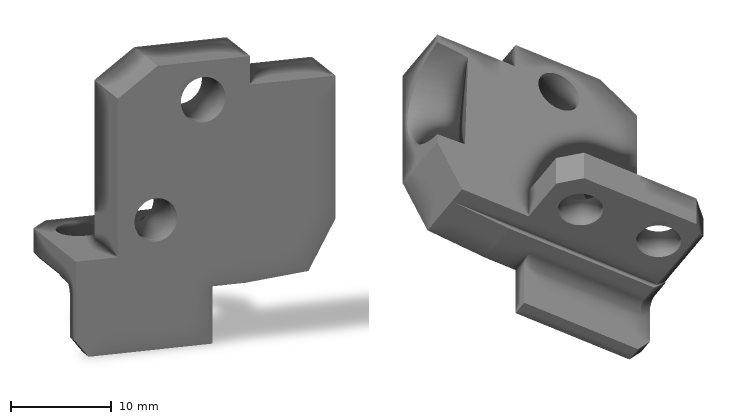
import cadquery as cq
import math

width = 14.3
height = 29.5
plate_back = 27.5

plate_left = 7.5
plate_front = 4.45
plate_underside = 6.5
step_y = 18.47
shoulder_z = 26.52
top_bevel_y = 8.67
rear_bevel_top = 11.62
rear_bevel_y = 24.63
plate_holes = [(13.48, 25.45, 4.72), (8.47, 13.48, 4.5)]

shelf_top = 10.03
shelf_depth = 16.95
corner_x = 2.06
corner_y = 2.0
shelf_edge_bevel = 1.0
shelf_hole_x = 4.05
shelf_hole_ys = (4.0, 13.0)
shelf_hole_diameter = 4.5

pad_left = 9.5
pad_underside = 5.95
pad_ramp_y = 18.0
pad_edge_bevel = 1.3

leg_thickness = 1.7
leg_left = width - leg_thickness
leg_depth = 14.48
leg_bevel_y = 1.35
leg_bevel_z = 1.7
leg_fillet = 1.0

recess_radius = 6.43
recess_axis_x = 6.55
recess_axis_z = 19.1
recess_yaw = 21.0
recess_pitch = 1.5
recess_length = 2.8
recess_overrun = 5.9


def side_prism(points, left):
    """Extrude a YZ outline from the given X to the right side of the part."""
    return cq.Workplane("YZ", origin=(left, 0, 0)).polyline(points).close().extrude(width - left)


def make_plate():
    plate = side_prism(
        [
            (plate_front, plate_underside),
            (plate_front, shoulder_z),
            (top_bevel_y, height),
            (step_y, height),
            (step_y, shoulder_z),
            (plate_back, shoulder_z),
            (plate_back, rear_bevel_top),
            (rear_bevel_y, plate_underside),
        ],
        plate_left,
    )
    for y, z, diameter in plate_holes:
        hole = cq.Workplane("YZ", origin=(0, y, z)).circle(diameter / 2).extrude(width)
        plate = plate.cut(hole)
    return plate.cut(make_recess())


def make_recess():
    yaw = math.radians(recess_yaw)
    pitch = math.radians(recess_pitch)
    axis = cq.Vector(
        math.sin(yaw) * math.cos(pitch),
        math.cos(yaw) * math.cos(pitch),
        math.sin(pitch),
    )
    rear_point = cq.Vector(recess_axis_x, plate_back, recess_axis_z)
    start = rear_point - axis * recess_length
    return cq.Workplane(
        cq.Solid.makeCylinder(recess_radius, recess_length + recess_overrun, start, axis)
    )


def make_shelf():
    outline = [
        (width, 0),
        (corner_x, 0),
        (0, corner_y),
        (0, shelf_depth - corner_y),
        (corner_x, shelf_depth),
        (width, shelf_depth),
    ]
    shelf = (
        cq.Workplane("XY", origin=(0, 0, plate_underside))
        .polyline(outline)
        .close()
        .extrude(shelf_top - plate_underside)
    )
    shelf = shelf.faces("<Y").edges("<Z").chamfer(shelf_edge_bevel)
    for y in shelf_hole_ys:
        hole = cq.Workplane("XY", origin=(shelf_hole_x, y, 0)).circle(shelf_hole_diameter / 2)
        shelf = shelf.cut(hole.extrude(height))
    return shelf


def make_pad_and_leg():
    pad = side_prism(
        [
            (0, shelf_top),
            (0, pad_underside + pad_edge_bevel),
            (pad_edge_bevel, pad_underside),
            (pad_ramp_y, pad_underside),
            (rear_bevel_y, plate_underside),
            (shelf_depth, shelf_top),
        ],
        pad_left,
    )
    leg = side_prism(
        [
            (0, shelf_top),
            (0, leg_bevel_z),
            (leg_bevel_y, 0),
            (leg_depth, 0),
            (leg_depth, shelf_top),
        ],
        leg_left,
    )
    inside_corner = cq.selectors.BoxSelector(
        (leg_left - 0.3, -0.3, pad_underside - 0.3),
        (leg_left + 0.3, leg_depth + 0.3, pad_underside + pad_edge_bevel),
    )
    return pad.union(leg).edges("not(|Z)").edges(inside_corner).fillet(leg_fillet)


result = make_plate().union(make_shelf()).union(make_pad_and_leg())